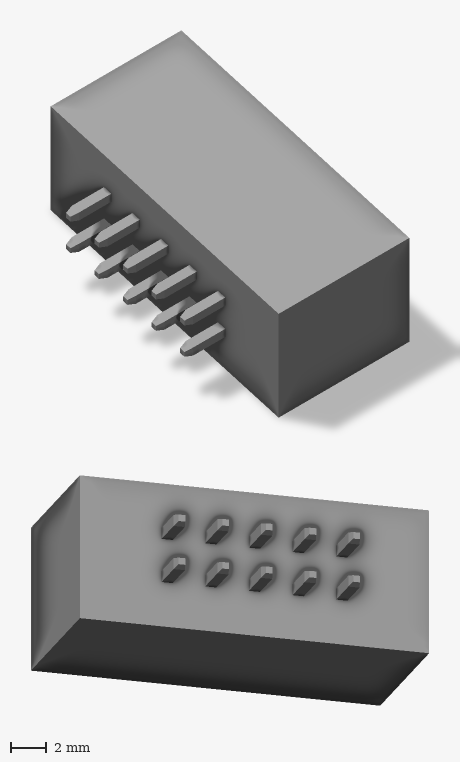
import cadquery as cq

housing_length = 20.3
housing_height = 8.4
total_depth = 12.1
pin_length = 2.8
housing_depth = total_depth - pin_length

pin_columns = 5
pin_rows = 2
pin_pitch = 2.54
pin_width = 0.65
tip_length = 0.5
tip_end_width = 0.39
shank_length = pin_length - tip_length


def make_housing():
    """Block centred on X and Z, with its pin face on Y = 0 and its body towards +Y."""
    return cq.Workplane("XY").box(
        housing_length, housing_depth, housing_height, centered=(True, False, True)
    )


def make_pin(x, z):
    """Pin that leaves the housing face at (x, z) and points towards -Y."""
    face = cq.Workplane("XZ").center(x, z)
    shank = face.rect(pin_width, pin_width).extrude(shank_length)
    tip = (
        face.workplane(offset=shank_length)
        .rect(pin_width, pin_width)
        .workplane(offset=tip_length)
        .rect(tip_end_width, tip_end_width)
        .loft(ruled=True)
    )
    return shank.union(tip)


result = make_housing()
for column in range(pin_columns):
    for row in range(pin_rows):
        pin_x = (column - (pin_columns - 1) / 2) * pin_pitch
        pin_z = (row - (pin_rows - 1) / 2) * pin_pitch
        result = result.union(make_pin(pin_x, pin_z))